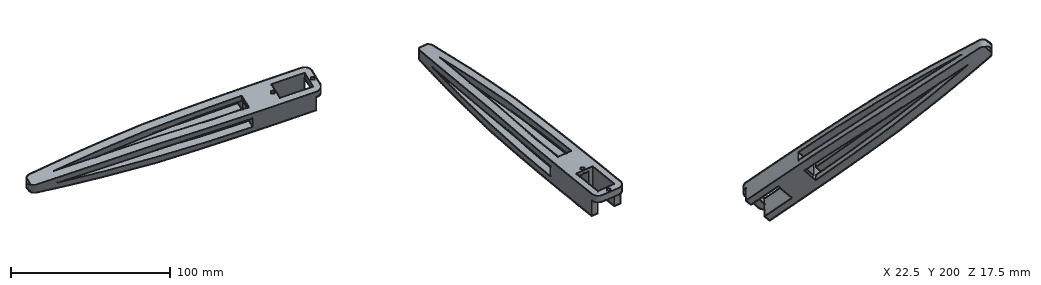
import cadquery as cq
import math

LENGTH = 200.0
WIDTH = 22.5
HEIGHT = 17.5

FLANGE_LENGTH = 5.0
FLANGE_THICKNESS = 5.2
FLANGE_CORNER_RADIUS = 5.0
POCKET_WIDTH = 12.8
POCKET_LENGTH = 23.0
SCREW_DIAMETER = 2.5
SCREW_SPACING = 27.5
SCREW_EDGE_DISTANCE = 2.5
SCREW_DEPTH = FLANGE_THICKNESS

FLANK_START = LENGTH - 32.5
TOP_TAPER_RADIUS = 2000.0
TOP_TAPER_START = LENGTH - 115.2
TIP_HEIGHT = 7.0
TIP_RADIUS = 5.0
TIP_BEVEL = 1.2

FLANK_RUN = FLANK_START - TIP_RADIUS
FLANK_DROP = WIDTH / 2 - TIP_RADIUS
FLANK_RADIUS = (FLANK_RUN**2 + FLANK_DROP**2) / (2 * FLANK_DROP)

SLOT_START = LENGTH - 49.0
SLOT_END = 18.5
SLOT_WALL_X = 5.8
SLOT_HEIGHT = 7.8
SIDE_SLOT_TAPER_START = LENGTH - 82.0

CHANNEL_WIDTH = 6.8
CHANNEL_ROOF = 2.8
CHANNEL_HEIGHT = HEIGHT - 2 * CHANNEL_ROOF

BODY_END = LENGTH - FLANGE_LENGTH
FLANGE_OVERLAP = 2.0


def flank_half_width(y):
    """Half width of the outer flank, an arc tangent to the straight sides."""
    run = FLANK_START - y
    return WIDTH / 2 - FLANK_RADIUS + math.sqrt(FLANK_RADIUS**2 - run**2)


def arc_middle(start, end, radius):
    """Middle of the outward-bulging taper arc from start down to end, on the positive side."""
    run = start[0] - end[0]
    drop = start[1] - end[1]
    chord = math.hypot(run, drop)
    sag = radius - math.sqrt(radius**2 - (chord / 2) ** 2)
    middle_y = (start[0] + end[0]) / 2 - sag * drop / chord
    middle_half = (start[1] + end[1]) / 2 + sag * run / chord
    return middle_y, middle_half


def plan_point(point, side):
    """Turn (y, half width) into XY plane coordinates."""
    return side * point[1], point[0]


def side_point(point, side):
    """Turn (y, half height) into YZ plane coordinates."""
    return point[0], side * point[1]


def tapered_outline(plane, place, back, start, end, radius):
    """Closed symmetric outline: straight from back to start, then arcs to end."""
    middle = arc_middle(start, end, radius)
    outline = cq.Workplane(plane).moveTo(*place((back, start[1]), 1))
    if back != start[0]:
        outline = outline.lineTo(*place(start, 1))
    outline = outline.threePointArc(place(middle, 1), place(end, 1))
    if end[1] > 0:
        outline = outline.lineTo(*place(end, -1))
    outline = outline.threePointArc(place(middle, -1), place(start, -1))
    if back != start[0]:
        outline = outline.lineTo(*place((back, start[1]), -1))
    return outline.close()


def make_body():
    """Plan and elevation outlines intersected, with a rounded tip."""
    plan = tapered_outline(
        "XY", plan_point, BODY_END, (FLANK_START, WIDTH / 2), (TIP_RADIUS, TIP_RADIUS), FLANK_RADIUS
    ).extrude(HEIGHT / 2, both=True)
    tip = (
        cq.Workplane("XY", origin=(0, TIP_RADIUS, -HEIGHT / 2))
        .circle(TIP_RADIUS)
        .extrude(HEIGHT)
    )
    elevation = tapered_outline(
        "YZ", side_point, BODY_END, (TOP_TAPER_START, HEIGHT / 2), (0, TIP_HEIGHT / 2), TOP_TAPER_RADIUS
    ).extrude(WIDTH / 2, both=True)
    elevation = elevation.faces("<Y").edges("|X").chamfer(TIP_BEVEL)
    return plan.union(tip).intersect(elevation)


def make_flange():
    """Thin rounded tab flush with the top face, overlapping the body slightly."""
    return (
        cq.Workplane("XY", origin=(0, 0, HEIGHT / 2 - FLANGE_THICKNESS))
        .center(0, BODY_END + (FLANGE_LENGTH - FLANGE_OVERLAP) / 2)
        .rect(WIDTH, FLANGE_LENGTH + FLANGE_OVERLAP)
        .extrude(FLANGE_THICKNESS)
        .edges("|Z and >Y")
        .fillet(FLANGE_CORNER_RADIUS)
    )


def make_pocket():
    """Through window bounded at the back only by the flange."""
    return (
        cq.Workplane("XY")
        .center(0, BODY_END - POCKET_LENGTH / 2)
        .rect(POCKET_WIDTH, POCKET_LENGTH)
        .extrude(HEIGHT / 2, both=True)
    )


def make_screw_holes():
    """One hole through the flange and one beyond the pocket, opening into the channel."""
    first_y = LENGTH - SCREW_EDGE_DISTANCE
    return (
        cq.Workplane("XY", origin=(0, 0, HEIGHT / 2 - SCREW_DEPTH))
        .pushPoints([(0, first_y), (0, first_y - SCREW_SPACING)])
        .circle(SCREW_DIAMETER / 2)
        .extrude(SCREW_DEPTH)
    )


def make_channel():
    """Rectangular passage along Y from the pocket to the back of the slots."""
    pocket_front = BODY_END - POCKET_LENGTH
    return cq.Workplane("XY", origin=(0, (pocket_front + SLOT_START) / 2, 0)).box(
        CHANNEL_WIDTH, pocket_front - SLOT_START, CHANNEL_HEIGHT
    )


def make_slots():
    """Vertical and sideways slots, both narrowing to a point near the tip."""
    slot_half_width = flank_half_width(SLOT_START) - SLOT_WALL_X
    vertical = tapered_outline(
        "XY", plan_point, SLOT_START, (SLOT_START, slot_half_width), (SLOT_END, 0), FLANK_RADIUS
    ).extrude(HEIGHT, both=True)
    taper_start = (SIDE_SLOT_TAPER_START, SLOT_HEIGHT / 2)
    sideways = tapered_outline(
        "YZ", side_point, SLOT_START, taper_start, (SLOT_END, 0), TOP_TAPER_RADIUS
    ).extrude(WIDTH, both=True)
    return vertical.union(sideways)


result = (
    make_body()
    .union(make_flange())
    .cut(make_pocket())
    .cut(make_screw_holes())
    .cut(make_slots())
    .cut(make_channel())
)